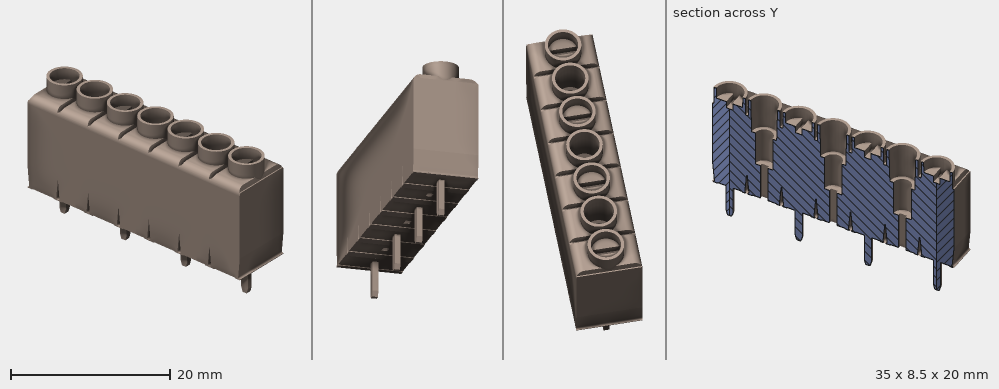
import cadquery as cq

position_count = 7
pitch = 5.0
length = position_count * pitch
width = 8.5
block_height = 13.4
top_edge_radius = 1.05
first_position = -length / 2 + pitch / 2
positions = [first_position + i * pitch for i in range(position_count)]
joints = [-length / 2 + i * pitch for i in range(position_count + 1)]
screw_positions = positions[0::2]
probe_positions = positions[1::2]

groove_depth = 0.65
groove_top_width = 0.72
groove_bottom_width = 0.3

foot_half_width = 0.75
foot_height = 0.1

relief_top = 3.15
relief_radius = 0.26
relief_center = foot_height + relief_radius

collar_diameter = 4.6
collar_height = 2.0
bore_diameter = 3.8
bore_draft = 1.4
collar_top = block_height + collar_height

screw_depth = 1.6
slot_width = 0.85
slot_depth = 1.0

step_diameter = 2.5
bore_depth = 5.0
step_depth = 10.0
window_length = 1.0
window_width = 0.75

pin_length = 4.55
pin_width = 1.1
pin_thickness = 0.75
pin_tip_width = 0.65
pin_tip_height = 0.75

end_section_length = pitch / 2


def prism_along_y(points):
    """Extrude an XZ outline across the whole width."""
    return cq.Workplane("XZ").polyline(points).close().extrude(width / 2, both=True)


def plain_block():
    block = cq.Workplane("XY").box(length, width, block_height, centered=(True, True, False))
    return block.edges("|X and >Z").fillet(top_edge_radius)


def top_groove(x):
    floor = block_height - groove_depth
    return prism_along_y([
        (x - groove_top_width / 2, block_height),
        (x - groove_bottom_width / 2, floor),
        (x + groove_bottom_width / 2, floor),
        (x + groove_top_width / 2, block_height),
    ])


def joint_relief(x):
    outline = (
        cq.Workplane("XZ")
        .moveTo(x, relief_top)
        .lineTo(x - relief_radius, relief_center)
        .threePointArc((x, foot_height), (x + relief_radius, relief_center))
        .close()
    )
    return outline.extrude(width / 2, both=True)


def underside_recess(x):
    recess_length = pitch - 2 * foot_half_width
    return cq.Workplane("XY").center(x, 0).box(
        recess_length, width, foot_height, centered=(True, True, False)
    )


def cylinder(x, diameter, bottom, top):
    return cq.Workplane("XY", origin=(x, 0, bottom)).circle(diameter / 2).extrude(top - bottom)


def collar(x):
    return cylinder(x, collar_diameter, block_height - groove_depth, collar_top)


def drafted_bore(x, depth):
    """Bore that narrows downwards from the collar rim."""
    rim = cq.Workplane("XY", origin=(x, 0, collar_top)).circle(bore_diameter / 2)
    return rim.extrude(-depth, taper=bore_draft)


def screw_recess(x):
    """Bore down to the screw head, with the driver slot crossing the head from wall to wall."""
    full_depth = screw_depth + slot_depth
    slot = cq.Workplane("XY", origin=(x, 0, collar_top)).rect(slot_width, bore_diameter).extrude(-full_depth)
    slot = slot.intersect(drafted_bore(x, full_depth))
    return drafted_bore(x, screw_depth).union(slot)


def probe_opening(x):
    """Stepped bore with a rectangular hole through the floor."""
    step = cylinder(x, step_diameter, collar_top - step_depth, collar_top)
    window = cq.Workplane("XY").center(x, 0).rect(window_length, window_width).extrude(collar_top)
    return drafted_bore(x, bore_depth).union(step).union(window)


def solder_pin(x):
    root = foot_height
    shoulder = pin_tip_height - pin_length
    outline = [
        (x - pin_width / 2, root),
        (x - pin_width / 2, shoulder),
        (x - pin_tip_width / 2, -pin_length),
        (x + pin_tip_width / 2, -pin_length),
        (x + pin_width / 2, shoulder),
        (x + pin_width / 2, root),
    ]
    return cq.Workplane("XZ").polyline(outline).close().extrude(pin_thickness / 2, both=True)


def complete_strip():
    strip = plain_block()
    for x in joints:
        strip = strip.cut(top_groove(x)).cut(joint_relief(x))
    for x in positions:
        strip = strip.cut(underside_recess(x)).union(collar(x))
    for x in screw_positions:
        strip = strip.cut(screw_recess(x)).union(solder_pin(x))
    for x in probe_positions:
        strip = strip.cut(probe_opening(x))
    return strip


def strip_section(strip, x_start, x_end):
    """Part of the strip between two planes across X."""
    height = pin_length + collar_top
    slab = cq.Workplane("XY", origin=((x_start + x_end) / 2, 0, -pin_length)).box(
        x_end - x_start, width, height, centered=(True, True, False)
    )
    return strip.intersect(slab)


strip = complete_strip()
parting_x = length / 2 - end_section_length
left_end = strip_section(strip, -length / 2, -parting_x)
middle = strip_section(strip, -parting_x, parting_x)
right_end = strip_section(strip, parting_x, length / 2)

result = cq.Compound.makeCompound([left_end.val(), middle.val(), right_end.val()])